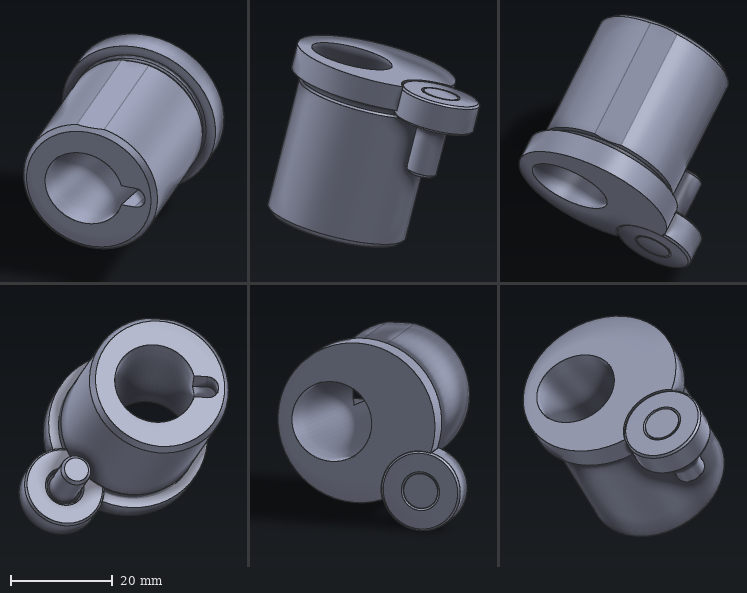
import cadquery as cq
import math

OVERALL = 37.0

BUSH_LENGTH = 34.0
FLANGE_RADIUS = 32.0 / 2
FLANGE_THICKNESS = 5.0
BODY_RADIUS = 27.97 / 2
BODY_CHAMFER = 1.0
FLAT_HEIGHT = 13.7
GROOVE_RADIUS = 13.55
GROOVE_WIDTH = 2.0
GROOVE_FILLET = 0.48

BORE_RADIUS = 16.0 / 2
BORE_TILT = 10.0
BORE_FRONT_X = -1.0
KEYWAY_WIDTH = 4.33
KEYWAY_REACH = 12.55
KEYWAY_DEPTH = 8.0

RING_RADIUS = 16.0 / 2
RING_THICKNESS = 6.0
RING_SETBACK = 0.15
RING_CHAMFER = 0.4
HOLE_RADIUS = 3.48
RING_OFFSET = OVERALL - FLANGE_RADIUS - RING_RADIUS
RING_X = -RING_OFFSET
RING_Z = -RING_OFFSET
RING_BACK_Y = -RING_SETBACK
RING_FRONT_Y = RING_BACK_Y - RING_THICKNESS

PIN_RADIUS = 3.0
PIN_CHAMFER = 0.6
PIN_FRONT_Y = -16.8
ROOT_SETBACK = 0.8
SHOULDER_Y = RING_FRONT_Y + ROOT_SETBACK


def cylinder(radius, back_y, front_y, x=0.0, z=0.0):
    """Cylinder along Y from back_y forward to front_y."""
    axis_start = cq.Vector(x, back_y, z)
    return cq.Workplane(obj=cq.Solid.makeCylinder(radius, back_y - front_y, axis_start, cq.Vector(0, -1, 0)))


def bush_blank():
    """Flange, relief groove and chamfered body as one turned shape."""
    groove_end = FLANGE_THICKNESS + GROOVE_WIDTH
    groove_ramp = BODY_RADIUS - GROOVE_RADIUS
    fillet_reach = GROOVE_FILLET * (1 - math.sqrt(0.5))
    return (
        cq.Workplane("XY")
        .lineTo(FLANGE_RADIUS, 0)
        .lineTo(FLANGE_RADIUS, -FLANGE_THICKNESS)
        .lineTo(GROOVE_RADIUS + GROOVE_FILLET, -FLANGE_THICKNESS)
        .threePointArc(
            (GROOVE_RADIUS + fillet_reach, -FLANGE_THICKNESS - fillet_reach),
            (GROOVE_RADIUS, -FLANGE_THICKNESS - GROOVE_FILLET),
        )
        .lineTo(GROOVE_RADIUS, -groove_end + groove_ramp)
        .lineTo(BODY_RADIUS, -groove_end)
        .lineTo(BODY_RADIUS, -BUSH_LENGTH + BODY_CHAMFER)
        .lineTo(BODY_RADIUS - BODY_CHAMFER, -BUSH_LENGTH)
        .lineTo(0, -BUSH_LENGTH)
        .close()
        .revolve(360, (0, 0, 0), (0, 1, 0))
    )


def flat_cutter():
    """Material above the flat, from the groove fillet to the front face."""
    flat_length = BUSH_LENGTH - FLANGE_THICKNESS - GROOVE_FILLET
    return cq.Workplane("XY").box(
        2 * BODY_RADIUS, flat_length, BODY_RADIUS, centered=(True, False, False)
    ).translate((0, -BUSH_LENGTH, FLAT_HEIGHT))


def incline(cutter):
    """Move a cutter whose axis is Y onto the bore axis, with y = 0 going to the front face."""
    tilted = cutter.rotate((0, 0, 0), (0, 0, 1), -BORE_TILT)
    return tilted.translate((BORE_FRONT_X, -BUSH_LENGTH, 0))


def inclined_bore():
    """Bore that drifts toward +X from the front face to the back face."""
    return incline(cylinder(BORE_RADIUS, 2 * BUSH_LENGTH, -BUSH_LENGTH))


def keyway():
    """Blind keyway with a round end, parallel to the bore and open to it."""
    end_radius = KEYWAY_WIDTH / 2
    end_centre = KEYWAY_REACH - end_radius
    straight = cq.Workplane("XY").box(
        end_centre, KEYWAY_DEPTH + BUSH_LENGTH, KEYWAY_WIDTH, centered=(False, False, True)
    ).translate((0, -BUSH_LENGTH, 0))
    return incline(straight.union(cylinder(end_radius, KEYWAY_DEPTH, -BUSH_LENGTH, x=end_centre)))


def make_bush():
    ring_pocket = cylinder(RING_RADIUS, 0, RING_FRONT_Y, RING_X, RING_Z)
    return (
        bush_blank()
        .cut(flat_cutter())
        .cut(inclined_bore())
        .cut(keyway())
        .cut(ring_pocket)
    )


def make_ring():
    """Ring with all its outer and hole edges chamfered."""
    disc = cylinder(RING_RADIUS, RING_BACK_Y, RING_FRONT_Y, RING_X, RING_Z)
    hole = cylinder(HOLE_RADIUS, RING_BACK_Y, RING_FRONT_Y, RING_X, RING_Z)
    return disc.cut(hole).faces("<Y or >Y").chamfer(RING_CHAMFER)


def make_pin():
    """Pin whose thick root fills the ring hole and tapers to the shank at 45 degrees."""
    root = cylinder(HOLE_RADIUS, RING_BACK_Y, SHOULDER_Y, RING_X, RING_Z)
    root = root.faces("<Y").chamfer(HOLE_RADIUS - PIN_RADIUS)
    shank = cylinder(PIN_RADIUS, RING_BACK_Y, PIN_FRONT_Y, RING_X, RING_Z)
    return root.union(shank.faces("<Y").chamfer(PIN_CHAMFER))


bush = make_bush()
ring = make_ring()
pin = make_pin()

result = cq.Compound.makeCompound([bush.val(), ring.val(), pin.val()])